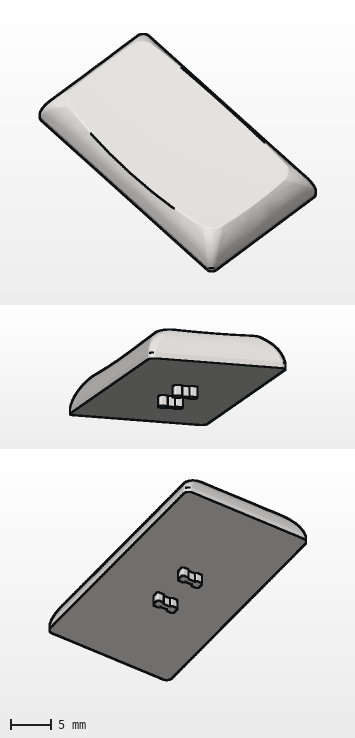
import cadquery as cq
import math

length = 32.25
width = 18.0
skirt_height = 0.75
base_corner_radius = 0.77

wall_arc_radius = 5.8
wall_start_angle = math.radians(8.6)
corner_growth = 0.5
blank_height = 4.68
section_count = 6

dish_floor = 3.3
dish_radius = 98.05
rim_fillet = 0.3

leg_spacing = 5.7
leg_height = 1.35
leg_thickness = 1.15
leg_width = 3.03
web_thickness = 0.68
web_gap = 0.97
lobe_fillet = 0.242


def wall_inset(height):
    """Inward offset of the side wall at the given height above the bottom of the skirt."""
    rise = height - skirt_height
    angle_sine = math.sin(wall_start_angle) + rise / wall_arc_radius
    return wall_arc_radius * (math.cos(wall_start_angle) - math.sqrt(1 - angle_sine**2))


def cap_outline(inset):
    """Rounded rectangle drawn in from the base outline by the given inset."""
    return (
        cq.Sketch()
        .rect(length - 2 * inset, width - 2 * inset)
        .vertices()
        .fillet(base_corner_radius + corner_growth * inset)
    )


def make_skirt():
    return cq.Workplane("XY").placeSketch(cap_outline(0)).extrude(skirt_height)


def make_crown():
    step = (blank_height - skirt_height) / (section_count - 1)
    heights = [skirt_height + i * step for i in range(section_count)]
    sections = [cap_outline(wall_inset(z)).moved(cq.Location((0, 0, z))) for z in heights]
    crown = cq.Workplane("XY").placeSketch(*sections).loft()
    dish_centre = (0, 0, dish_floor + dish_radius)
    dish = cq.Workplane("XY").sphere(dish_radius).rotate((0, 0, 0), (1, 0, 0), 90).translate(dish_centre)
    return crown.cut(dish).faces(">Z").edges().fillet(rim_fillet)


def make_leg(x):
    lobe_length = (leg_width - web_gap) / 2
    lobe_offset = (web_gap + lobe_length) / 2
    lobes = (
        cq.Workplane("XY")
        .pushPoints([(x, -lobe_offset), (x, lobe_offset)])
        .rect(leg_thickness, lobe_length)
        .extrude(-leg_height)
        .edges("|Z")
        .fillet(lobe_fillet)
    )
    web = cq.Workplane("XY").center(x, 0).rect(web_thickness, 2 * lobe_offset).extrude(-leg_height)
    return lobes.union(web)


result = make_skirt().union(make_crown())
for side in (-1, 1):
    result = result.union(make_leg(side * leg_spacing / 2))